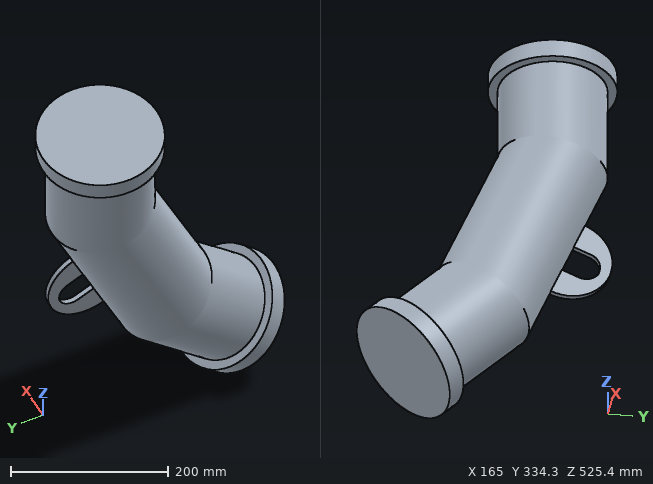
import cadquery as cq
import math

flange_diameter = 165.0
flange_thickness = 25.0
pipe_diameter = 140.0
end_leg_length = 144.5
middle_leg_length = 238.5
bend_angle = 22.5

lug_radius = 58.0
lug_thickness = 8.0
slot_width = 40.0
slot_center_distance = 47.5

pipe_radius = pipe_diameter / 2


def direction(angle):
    """Downward unit vector in the YZ plane, tilted toward -Y."""
    return cq.Vector(0, -math.sin(math.radians(angle)), -math.cos(math.radians(angle)))


top_center = cq.Vector(0, 0, 0)
upper_bend = top_center + direction(0) * end_leg_length
lower_bend = upper_bend + direction(bend_angle) * middle_leg_length
outlet_direction = direction(2 * bend_angle)
outlet_center = lower_bend + outlet_direction * end_leg_length


def make_pipe():
    """Solid round bar swept along the centreline with mitred bends."""
    points = [top_center, upper_bend, lower_bend, outlet_center]
    path = cq.Workplane("XY").polyline([p.toTuple() for p in points])
    profile = cq.Workplane("XY").circle(pipe_radius)
    return profile.sweep(path, transition="right")


def make_flange(face_center, inward):
    """Disc running from an end face back along the pipe."""
    disc = cq.Solid.makeCylinder(flange_diameter / 2, flange_thickness, face_center, inward)
    return cq.Workplane(obj=disc)


def make_lug():
    """Slotted round plate centred on the back of the middle leg."""
    leg_direction = direction(bend_angle)
    outward = cq.Vector(0, -leg_direction.z, leg_direction.y)
    center = (upper_bend + lower_bend) * 0.5 + outward * pipe_radius
    plane = cq.Plane(origin=center, xDir=outward, normal=(1, 0, 0))
    plate = cq.Workplane(plane).circle(lug_radius).extrude(lug_thickness / 2, both=True)
    slot = (
        cq.Workplane(plane)
        .slot2D(slot_center_distance + slot_width, slot_width)
        .extrude(lug_thickness, both=True)
    )
    return plate.cut(slot)


result = (
    make_pipe()
    .union(make_flange(top_center, direction(0)))
    .union(make_flange(outlet_center, outlet_direction * -1))
    .union(make_lug())
)